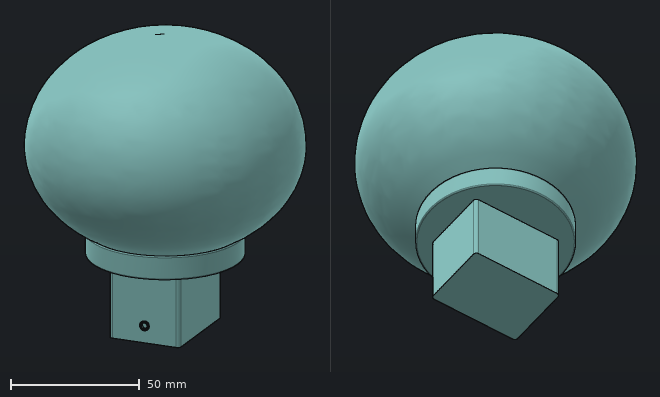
import cadquery as cq
import math

tenon_x = 30.0
tenon_y = 40.0
tenon_height = 30.2
tenon_corner_radius = 1.5
flange_diameter = 62.0
flange_thickness = 9.6
flange_rim_radius = 0.5

total_height = 120.5
knob_radius = 54.7
knob_equator_z = 74.7
knob_lower_semi_height = 41.8
knob_outline_steps = 12

screw_diameter = 4.0
screw_rim_diameter = 3.3
screw_axis_z = 7.0
screw_length = 6.0
socket_across_corners = 2.7
socket_depth = 1.1

front_y = -tenon_y / 2
flange_top = tenon_height + flange_thickness
knob_upper_semi_height = total_height - knob_equator_z
screw_chamfer = (screw_diameter - screw_rim_diameter) / 2


def screw_sketch():
    """Workplane on the front face of the tenon, its normal pointing inward along the screw axis."""
    return cq.Workplane(cq.Plane(origin=(0, front_y, screw_axis_z), xDir=(1, 0, 0), normal=(0, 1, 0)))


def make_base():
    """Tenon with rounded upright edges and a blind screw hole, in one piece with the flange."""
    tenon = cq.Workplane("XY").box(tenon_x, tenon_y, tenon_height, centered=(True, True, False))
    tenon = tenon.edges("|Z").fillet(tenon_corner_radius)
    screw_hole = screw_sketch().circle(screw_diameter / 2).extrude(screw_length)
    flange = cq.Workplane("XY", origin=(0, 0, tenon_height)).circle(flange_diameter / 2)
    flange = flange.extrude(flange_thickness).faces("<Z or >Z").edges().fillet(flange_rim_radius)
    return tenon.cut(screw_hole).union(flange)


def knob_outline_point(angle):
    """Radius and Z of the knob outline at an angle, in radians, above its widest level."""
    semi_height = knob_upper_semi_height if angle > 0 else knob_lower_semi_height
    return knob_radius * math.cos(angle), knob_equator_z + semi_height * math.sin(angle)


def make_knob():
    """Squashed round knob with one smooth side, flat where it sits on the flange."""
    seat_angle = -math.asin((knob_equator_z - flange_top) / knob_lower_semi_height)
    angle_step = (math.pi / 2 - seat_angle) / knob_outline_steps
    outline = [knob_outline_point(seat_angle + i * angle_step) for i in range(knob_outline_steps)]
    outline.append((0, total_height))
    profile = cq.Workplane("XZ").moveTo(0, flange_top).lineTo(*outline[0])
    profile = profile.spline(outline[1:], includeCurrent=True)
    return profile.close().revolve(360, (0, 0, 0), (0, 1, 0))


def make_set_screw():
    """Headless screw flush with the tenon, with a chamfered rim and a hexagon socket."""
    body = screw_sketch().circle(screw_diameter / 2).extrude(screw_length)
    body = body.faces("<Y").edges().chamfer(screw_chamfer)
    socket = screw_sketch().polygon(6, socket_across_corners).extrude(socket_depth)
    return body.cut(socket)


base = make_base()
knob = make_knob()
set_screw = make_set_screw()

result = cq.Compound.makeCompound([base.val(), knob.val(), set_screw.val()])